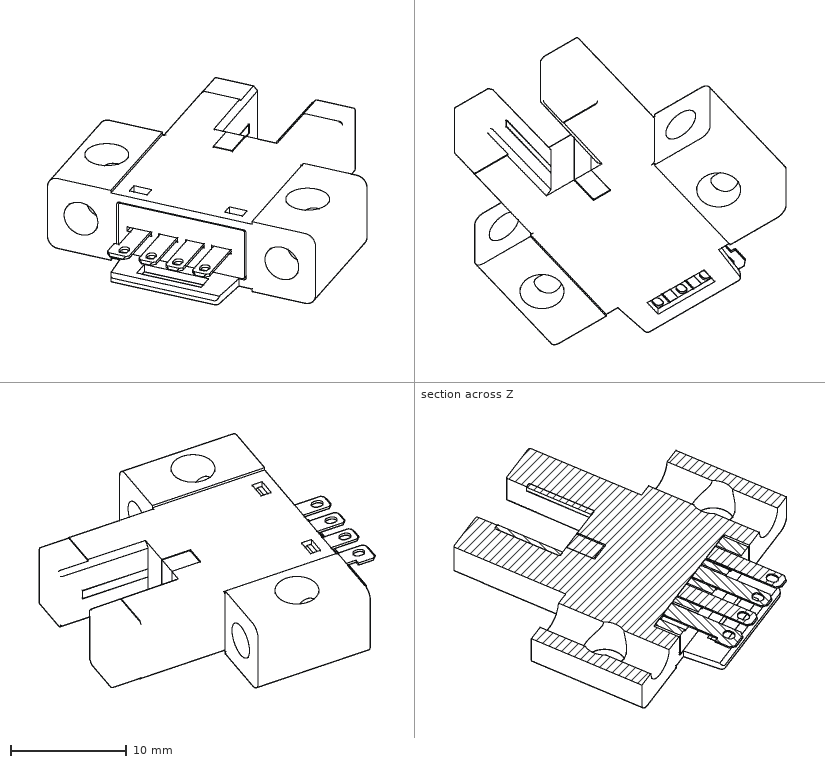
import cadquery as cq

total_width = 25.4
ear_depth = 11.05
ear_height = 7.0
ear_round = 1.0
body_width = 13.36
body_depth = 22.25
body_height = 6.5
side_round = 0.3
ear_hole_x = 9.52
vertical_hole_diameter = 3.8
front_hole_diameter = 3.2

slot_depth = 8.55
slot_mouth_width = 5.15
slot_root_width = 5.0
slot_chamfer = 0.5
tip_length = 2.9
tip_inset = 0.1
tip_round = 0.19

window_length = 6.45
window_height = 0.9
window_thickness = 0.5

indicator_left = -1.83
indicator_width = 1.78
indicator_length = 2.75
indicator_gap = 0.08

plug_width = 11.96
plug_height = 4.84
plug_depth = 2.5
plug_corner = 0.2
plug_side_gap = 0.16
plug_top_gap = 0.08
latch_x = 4.52
latch_width = 1.5
latch_front = 1.06
latch_length = 0.8
latch_rise = 0.4
latch_window_clearance = 0.09

terminal_count = 4
terminal_pitch = 2.54
terminal_width = 1.6
terminal_thickness = 0.25
terminal_reach = 4.8
terminal_corner = 0.42
terminal_bevel = 0.2
terminal_hole_length = 1.06
terminal_hole_width = 0.8
terminal_hole_y = -3.62
tab_width = 0.45
tab_start = 2.92
terminal_clearance = 0.09
end_slot_clearance = 0.17

guard_length = 3.8
guard_root_width = 10.88
guard_end_width = 10.2
guard_thickness = 0.75
guard_corner = 0.35
guard_bevel = 0.35
guard_opening_width = 6.1
guard_opening_start = 1.06
guard_opening_length = 1.6

slot_root_y = body_depth - slot_depth
tip_start_y = body_depth - tip_length
body_top = body_height / 2
guard_top = guard_thickness - body_top
recess_width = plug_width + 2 * plug_side_gap
recess_height = plug_height + 2 * plug_top_gap


def block(x_start, x_end, y_start, y_end, z_start, z_end):
    """Box between two opposite corners."""
    return cq.Workplane("XY").box(
        x_end - x_start, y_end - y_start, z_end - z_start, centered=False
    ).translate((x_start, y_start, z_start))


def centred_block(width, height, y_start, y_end):
    """Box centred on X = 0 and Z = 0, between two Y positions."""
    return block(-width / 2, width / 2, y_start, y_end, -height / 2, height / 2)


def latch_place(side, margin):
    """X and Y limits of a latch, widened all round by a margin."""
    x_mid = side * latch_x
    half_width = latch_width / 2 + margin
    return (
        x_mid - half_width,
        x_mid + half_width,
        latch_front - margin,
        latch_front + latch_length + margin,
    )


def make_fork(inset):
    """Forked prism with rounded sides and a bevelled slot, its top and bottom lowered by an inset."""
    height = body_height - 2 * inset
    fork = centred_block(body_width, height, 0, body_depth)
    fork = fork.edges("|Y").fillet(side_round - inset)
    slot = (
        cq.Workplane("XY")
        .polyline([
            (-slot_root_width / 2, slot_root_y),
            (slot_root_width / 2, slot_root_y),
            (slot_mouth_width / 2, body_depth),
            (-slot_mouth_width / 2, body_depth),
        ])
        .close()
        .extrude(height / 2, both=True)
    )
    fork = fork.cut(slot)
    margin = 0.1
    for z_edge in (-height / 2, height / 2):
        for side in (-1, 1):
            x_edge = side * slot_mouth_width / 2
            edge_zone = cq.selectors.BoxSelector(
                (x_edge - margin, slot_root_y + margin, z_edge - margin),
                (x_edge + margin, body_depth - margin, z_edge + margin),
            )
            fork = fork.edges(edge_zone).chamfer(slot_chamfer - inset)
    return fork


def make_body():
    """Forked central body with lowered tips and rounded ends."""
    tip_zone = centred_block(body_width, body_height, tip_start_y, body_depth)
    tips = make_fork(tip_inset).faces(">Y").edges().fillet(tip_round).intersect(tip_zone)
    return make_fork(0).cut(tip_zone).union(tips)


def make_ears():
    """Round-edged ears joined by a lower square-edged middle of body height."""
    ears = centred_block(total_width, ear_height, 0, ear_depth).edges("|Y").fillet(ear_round)
    ears = ears.cut(centred_block(body_width, ear_height, 0, ear_depth))
    return ears.union(centred_block(body_width, body_height, 0, ear_depth))


def make_guard():
    """Tapered plate with an opening and a bevelled front edge."""
    guard = (
        cq.Workplane("XY")
        .workplane(offset=-body_top)
        .polyline([
            (-guard_root_width / 2, 0),
            (-guard_end_width / 2, -guard_length),
            (guard_end_width / 2, -guard_length),
            (guard_root_width / 2, 0),
        ])
        .close()
        .extrude(guard_thickness)
    )
    guard = guard.edges("|Z and <Y").fillet(guard_corner)
    bevel = (
        cq.Workplane("YZ")
        .polyline([
            (-guard_length, guard_top - guard_bevel),
            (-guard_length, guard_top),
            (guard_bevel - guard_length, guard_top),
        ])
        .close()
        .extrude(guard_root_width / 2, both=True)
    )
    opening = block(
        -guard_opening_width / 2, guard_opening_width / 2,
        -guard_opening_start - guard_opening_length, -guard_opening_start,
        -body_top, guard_top,
    )
    return guard.cut(bevel).cut(opening)


def make_ear_holes():
    """Crossing vertical and front-to-back holes of both ears."""
    ear_centres = [(-ear_hole_x, 0), (ear_hole_x, 0)]
    vertical = (
        cq.Workplane("XY", origin=(0, ear_depth / 2, 0))
        .pushPoints(ear_centres)
        .circle(vertical_hole_diameter / 2)
        .extrude(ear_height / 2, both=True)
    )
    front_to_back = (
        cq.Workplane("XZ")
        .pushPoints(ear_centres)
        .circle(front_hole_diameter / 2)
        .extrude(-ear_depth)
    )
    return vertical.union(front_to_back)


def make_window(side):
    """Flat window ending at the slot root, its face level with the narrow end of the slot."""
    inner = side * slot_root_width / 2
    outer = inner + side * window_thickness
    return block(
        min(inner, outer), max(inner, outer),
        slot_root_y, slot_root_y + window_length,
        -window_height / 2, window_height / 2,
    )


def make_housing():
    """One piece: body, ears and guard, with the seats of the other bodies cut out."""
    housing = make_body().union(make_ears()).union(make_guard()).cut(make_ear_holes())
    recess = centred_block(recess_width, recess_height, 0, plug_depth)
    housing = housing.cut(recess.edges("|Y").fillet(plug_corner + plug_top_gap))
    for side in (-1, 1):
        housing = housing.cut(block(*latch_place(side, latch_window_clearance), 0, body_top))
        housing = housing.cut(make_window(side))
    notch = block(
        indicator_left, indicator_left + indicator_width + indicator_gap,
        slot_root_y - indicator_length - indicator_gap, slot_root_y,
        -body_top, body_top,
    )
    return housing.cut(notch)


def make_indicator():
    """Block against the left wall of its notch, flush with the slot root."""
    return block(
        indicator_left, indicator_left + indicator_width,
        slot_root_y - indicator_length, slot_root_y,
        -body_top, body_top,
    )


def terminal_x(index):
    """Mid X of a terminal."""
    return (index - (terminal_count - 1) / 2) * terminal_pitch


def make_latch(side):
    """Raised catch on the plug, sloping down toward the back."""
    x_start, _, y_start, y_end = latch_place(side, 0)
    return (
        cq.Workplane("YZ", origin=(x_start, 0, 0))
        .polyline([
            (y_start, 0),
            (y_start, plug_height / 2 + latch_rise),
            (y_end - latch_rise, plug_height / 2 + latch_rise),
            (y_end, plug_height / 2),
            (y_end, 0),
        ])
        .close()
        .extrude(latch_width)
    )


def make_plug():
    """Rounded plug with two latches and a clearance slot for each terminal."""
    plug = centred_block(plug_width, plug_height, 0, plug_depth).edges("|Y").fillet(plug_corner)
    for side in (-1, 1):
        plug = plug.union(make_latch(side))
    half_height = terminal_thickness / 2 + terminal_clearance
    for index in range(terminal_count):
        left = terminal_x(index) - terminal_width / 2 - terminal_clearance
        right = terminal_x(index) + terminal_width / 2 + terminal_clearance
        if index == 0:
            left -= tab_width
            right += end_slot_clearance - terminal_clearance
        if index == terminal_count - 1:
            left -= end_slot_clearance - terminal_clearance
        plug = plug.cut(block(left, right, 0, plug_depth, -half_height, half_height))
    return plug


def make_terminal(index):
    """Flat blade with clipped corners, bevelled end and oblong eye; the first has a side tab."""
    x_mid = terminal_x(index)
    half_width = terminal_width / 2
    half_thickness = terminal_thickness / 2
    blade = block(
        x_mid - half_width, x_mid + half_width, -terminal_reach, plug_depth,
        -half_thickness, half_thickness,
    )
    if index == 0:
        tab = block(
            x_mid - half_width - tab_width, x_mid, -terminal_reach, -tab_start,
            -half_thickness, half_thickness,
        )
        blade = blade.union(tab)
    blade = blade.faces("<Y").edges("|Z").chamfer(terminal_corner)
    blade = blade.cut(
        cq.Workplane("XY", origin=(x_mid, terminal_hole_y, 0))
        .slot2D(terminal_hole_length, terminal_hole_width, 90)
        .extrude(half_thickness, both=True)
    )
    return blade.faces("<Y").edges(">Z").chamfer(terminal_bevel)


housing = make_housing()
plug = make_plug()
indicator = make_indicator()
windows = [make_window(side).val() for side in (-1, 1)]
terminals = [make_terminal(index).solids().val() for index in range(terminal_count)]

result = cq.Compound.makeCompound([
    housing.solids().val(),
    plug.solids().val(),
    indicator.val(),
    *windows,
    *terminals,
])